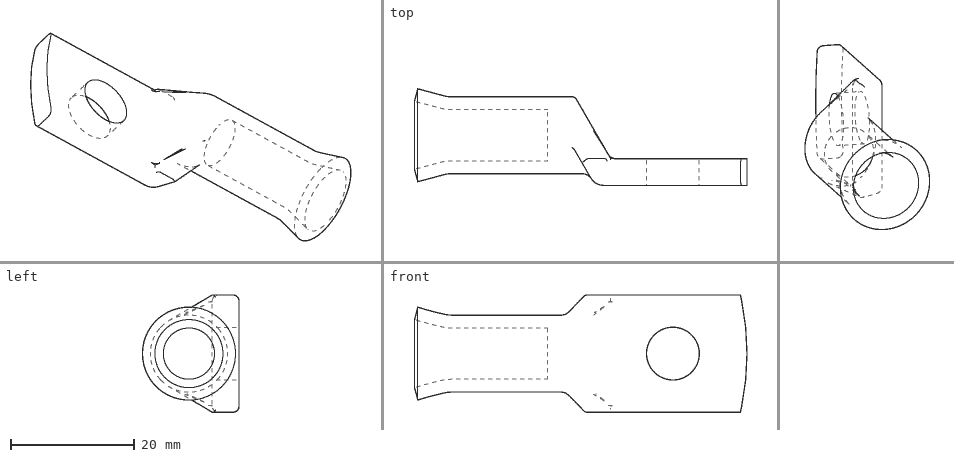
import cadquery as cq
import math

tube_radius = 6.25
bore_radius = 4.15
wall = tube_radius - bore_radius
bore_depth = 21.55

flare_angle = math.radians(15)
rim_radius = 7.55
flare_bend_end = 6.05
rim_x = wall * math.sin(flare_angle)
inner_mouth_radius = rim_radius - wall * math.cos(flare_angle)

overall_length = 53.9
palm_width = 19.0
palm_front = -8.15
palm_thickness = 4.35
palm_back = palm_front + palm_thickness
end_sagitta = 1.1
hole_x = 41.9
hole_radius = 4.25

neck_angle = math.radians(60)
neck_back_x = 31.8
neck_front_x = neck_back_x - palm_thickness * math.tan(neck_angle / 2)
seat_depth = 0.1

barrel_end_round = 0.8
edge_round = 1.0
inner_bend_radius = 1.35
bend_inset = 1.15
outer_bend_radius = 2.4
neck_root_round = 1.6


def neck_x(start_x, start_y, y):
    """X at height y on a neck face that leaves the palm at (start_x, start_y)."""
    return start_x - (y - start_y) / math.tan(neck_angle)


def make_flared_rod(mouth, radius, end_x):
    """Rod starting at X = 0 whose mouth tapers along a cone and bends into the straight part."""
    mouth_x, mouth_radius = mouth
    corner_x = mouth_x + (mouth_radius - radius) / math.tan(flare_angle)
    tangent_length = flare_bend_end - corner_x
    bend_radius = tangent_length / math.tan(flare_angle / 2)
    bend_start = (
        corner_x - tangent_length * math.cos(flare_angle),
        radius + tangent_length * math.sin(flare_angle),
    )
    bend_middle = (
        flare_bend_end - bend_radius * math.sin(flare_angle / 2),
        radius + bend_radius * (1 - math.cos(flare_angle / 2)),
    )
    profile = cq.Workplane("XY").lineTo(0, inner_mouth_radius)
    if mouth_x > 0:
        profile = profile.lineTo(mouth_x, mouth_radius)
    return (
        profile.lineTo(*bend_start)
        .threePointArc(bend_middle, (flare_bend_end, radius))
        .lineTo(end_x, radius)
        .lineTo(end_x, 0)
        .close()
        .revolve(360, (0, 0), (1, 0))
    )


def make_neck_clearance():
    """Space beyond the back face of the neck, where the barrel ends."""
    top = 2 * rim_radius
    return (
        cq.Workplane("XY")
        .polyline([
            (neck_x(neck_back_x, palm_back, -top), -top),
            (neck_x(neck_back_x, palm_back, top), top),
            (2 * overall_length, top),
            (2 * overall_length, -top),
        ])
        .close()
        .extrude(palm_width, both=True)
    )


def make_plate():
    """Palm and neck: a bent strip whose neck narrows toward the barrel."""
    strip = (
        cq.Workplane("XY")
        .polyline([
            (neck_front_x, palm_front),
            (overall_length, palm_front),
            (overall_length, palm_back),
            (neck_back_x, palm_back),
            (neck_x(neck_back_x, palm_back, tube_radius), tube_radius),
            (neck_x(neck_front_x, palm_front, tube_radius), tube_radius),
        ])
        .close()
        .extrude(palm_width, both=True)
    )
    half_width = palm_width / 2
    corner_distance = math.hypot(palm_back, half_width)
    corner_angle = math.atan2(half_width, palm_back)
    touch_angle = corner_angle - math.acos((tube_radius - seat_depth) / corner_distance)
    touch_y = tube_radius * math.cos(touch_angle)
    touch_z = tube_radius * math.sin(touch_angle)
    section = (
        cq.Workplane("YZ")
        .moveTo(palm_front, -half_width)
        .lineTo(palm_back, -half_width)
        .lineTo(touch_y, -touch_z)
        .lineTo(touch_y, touch_z)
        .lineTo(palm_back, half_width)
        .lineTo(palm_front, half_width)
        .close()
        .extrude(overall_length)
    )
    return strip.intersect(section)


def round_end(body):
    """Bow the free end of the palm outward."""
    half_width = palm_width / 2
    corner_x = overall_length - end_sagitta
    outline = (
        cq.Workplane("XZ")
        .moveTo(0, -half_width)
        .lineTo(corner_x, -half_width)
        .threePointArc((overall_length, 0), (corner_x, half_width))
        .lineTo(0, half_width)
        .close()
        .extrude(2 * rim_radius, both=True)
    )
    return body.intersect(outline)


def round_plate(plate):
    """Round the front bend and all the long edges of the palm and neck."""
    front_bend = cq.selectors.BoxSelector(
        (neck_front_x - 0.05, palm_front - 0.05, -0.55), (neck_front_x + 0.05, palm_front + 0.05, 0.55)
    )
    plate = plate.edges(front_bend).fillet(outer_bend_radius)
    front_edges = [
        edge
        for edge in plate.edges("not |Z").vals()
        if is_palm_edge(edge, palm_front) or is_neck_edge(edge, neck_front_x, palm_front)
    ]
    plate = plate.newObject(front_edges).fillet(edge_round)
    back_edges = [
        edge
        for edge in plate.edges("not |Z").vals()
        if is_palm_edge(edge, palm_back) or is_neck_edge(edge, neck_back_x, palm_back)
    ]
    back_edges.sort(key=lambda edge: (edge.Center().x, edge.Center().z))
    return plate.newObject(back_edges).fillet(edge_round)


def is_palm_edge(edge, face_y):
    """True for the edges along the two sides of the palm face at face_y."""
    on_face = abs(edge.Center().y - face_y) < 0.05
    return on_face and edge.Center().x > hole_x - hole_radius


def is_neck_edge(edge, start_x, start_y):
    """True for the slanted side edges of the neck face that leaves the palm at the start."""
    center = edge.Center()
    on_slope = abs(center.x - neck_x(start_x, start_y, center.y)) < 0.05
    return on_slope and center.y > palm_back and abs(center.z) > tube_radius


def make_inner_bend():
    """Concave round between the palm and the back of the neck."""
    reach = inner_bend_radius * math.tan(neck_angle / 2)
    center = (neck_back_x + reach, palm_back + inner_bend_radius)
    middle = (
        center[0] - inner_bend_radius * math.sin(neck_angle / 2),
        center[1] - inner_bend_radius * math.cos(neck_angle / 2),
    )
    return (
        cq.Workplane("XY")
        .moveTo(neck_back_x - edge_round, palm_back - edge_round)
        .lineTo(neck_back_x + reach, palm_back)
        .threePointArc(
            middle,
            (
                neck_back_x - reach * math.cos(neck_angle),
                palm_back + reach * math.sin(neck_angle),
            ),
        )
        .close()
        .extrude(palm_width / 2 - bend_inset, both=True)
    )


def round_barrel_end(body):
    """Fill the root between barrel and neck, then round the sloping barrel end."""
    root = [
        edge
        for edge in body.edges("%ELLIPSE").vals()
        if edge.BoundingBox().ymin < -0.9 * tube_radius and edge.BoundingBox().xmax < neck_front_x
    ]
    body = body.newObject(root).fillet(neck_root_round)
    end_start_x = neck_x(neck_back_x, palm_back, tube_radius)
    end = [
        edge
        for edge in body.edges("%ELLIPSE").vals()
        if edge.BoundingBox().ymax > 0.9 * tube_radius
        and edge.BoundingBox().xmin > end_start_x - 0.05
    ]
    return body.newObject(end).fillet(barrel_end_round)


barrel = make_flared_rod((rim_x, rim_radius), tube_radius, 2 * neck_back_x)
barrel = barrel.cut(make_neck_clearance())
body = round_barrel_end(round_plate(make_plate()).union(barrel))
body = round_end(body.union(make_inner_bend()))
bolt_hole = (
    cq.Workplane("XZ")
    .center(hole_x, 0)
    .circle(hole_radius)
    .extrude(2 * palm_width, both=True)
)
bore = make_flared_rod((0, inner_mouth_radius), bore_radius, bore_depth)
result = body.cut(bore).cut(bolt_hole)